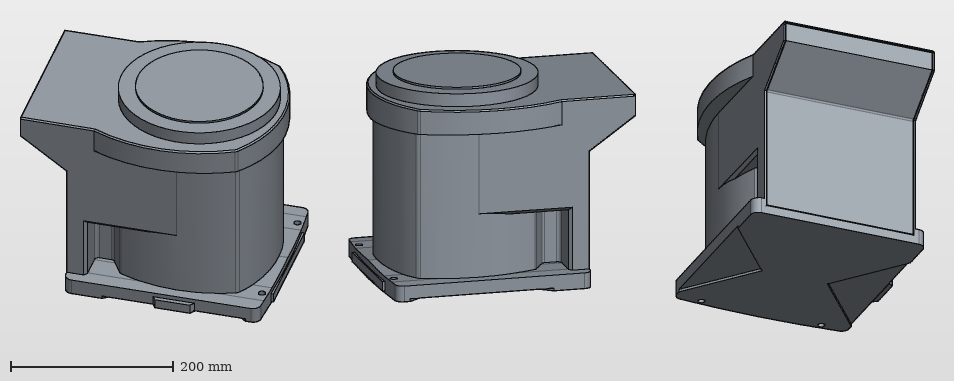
import cadquery as cq
import math


HEAD_TOP = 239.2
DISC_TOP = 255.5
LID_TOP = 258.0
BASE_RIDGE_HEIGHT = 23.5
LIP_RIDGE_HEIGHT = 203.5
ROOF_TILT = 2.3

BASE_REAR_X = -141.2
BASE_HALF_WIDTH = 115.5
BASE_CORNER_X = 108.0
BASE_NOSE_X = 113.5
BASE_CORNER_RADIUS = 10.0
BAND_INNER_Y = 66.0
BAND_OUTER_Y = 96.0
BOLT_HOLE_DIAMETER = 8.8
BOLT_HOLE_X = 103.0
BOLT_HOLE_Y = 80.5

PAD_BOTTOM = 2.8
PAD_TOP = 14.8
NOSE_PAD_X = 114.7
NOSE_PAD_HALF_LENGTH = 70.0
SIDE_TAB_Y = -121.5
SIDE_TAB_HALF_LENGTH = 26.5
SIDE_TAB_OUTER_HALF_LENGTH = 22.5

RELIEF_HEIGHT = 3.5
RELIEF_HALF_LENGTH = 91.7
RELIEF_WALL_ANGLE = 38.0

HEAD_REAR_X = -200.5
OVERHANG_EDGE_HEIGHT = 212.5
OVERHANG_ROOT_HEIGHT = 171.0
REAR_HALF_WIDTH = 101.0
WALL_HALF_WIDTH = 102.0
SIDE_ARC_RADIUS = 195.5
COLUMN_CORNER_X = 74.0
COLUMN_NOSE_X = 102.0
LIP_START_X = -106.0
LIP_PEAK_X = -19.0
LIP_PEAK_Y = 121.3
LIP_CORNER_X = 75.5
LIP_CORNER_Y = 97.5
LIP_NOSE_X = 110.0
NOSE_EDGE_RADIUS = 9.5
TOP_CHAMFER = 2.0

WALL_SLOPE = (REAR_HALF_WIDTH - WALL_HALF_WIDTH) / HEAD_REAR_X
LIP_START_Y = WALL_HALF_WIDTH + WALL_SLOPE * LIP_START_X
SIDE_ARC_CENTRE_X = SIDE_ARC_RADIUS * math.sin(math.atan(WALL_SLOPE))
SIDE_ARC_CENTRE_Y = WALL_HALF_WIDTH - SIDE_ARC_RADIUS * math.cos(math.atan(WALL_SLOPE))

DISC_RADIUS = 100.0
LID_RADIUS = 78.8

POCKET_REAR_X = -120.0
POCKET_TOP = 101.8
POCKET_RIM = 4.5
POCKET_FLOOR_Y = 60.5
POCKET_FLOOR_END_X = -92.3
CORE_EDGE_X = -77.2
POCKET_CORNER_RADIUS = 5.0

RECESS_DEPTH = 6.3
PANEL_GAP = 1.0
RECESS_HALF_WIDTH = 99.0
RECESS_TOP = 237.3
RECESS_BOTTOM = 11.5
PANEL_ROOT_RADIUS = 3.0


def side_arc_y(x):
    """Half width of the column's curved side at x."""
    return SIDE_ARC_CENTRE_Y + math.sqrt(SIDE_ARC_RADIUS**2 - (x - SIDE_ARC_CENTRE_X)**2)


def mirrored_pair(shape):
    """The shape together with its mirror image across the XZ plane."""
    return shape.union(shape.mirror("XZ"))


def roof_drop(distance):
    """Height change of a tilted roof face over a distance along Y."""
    return distance * math.tan(math.radians(ROOF_TILT))


def make_base():
    plan = (
        cq.Workplane("XY")
        .moveTo(BASE_REAR_X, -BASE_HALF_WIDTH)
        .lineTo(BASE_CORNER_X, -BASE_HALF_WIDTH)
        .threePointArc((BASE_NOSE_X, 0), (BASE_CORNER_X, BASE_HALF_WIDTH))
        .lineTo(BASE_REAR_X, BASE_HALF_WIDTH)
        .close()
        .extrude(BASE_RIDGE_HEIGHT)
        .edges("|Z")
        .fillet(BASE_CORNER_RADIUS)
    )
    band_height = BASE_RIDGE_HEIGHT - roof_drop(BAND_INNER_Y)
    edge_height = band_height - roof_drop(BASE_HALF_WIDTH - BAND_OUTER_Y)
    half_roof = [
        (BAND_INNER_Y, band_height),
        (BAND_OUTER_Y, band_height),
        (BASE_HALF_WIDTH, edge_height),
        (BASE_HALF_WIDTH, 0),
    ]
    other_half = [(-y, z) for y, z in reversed(half_roof)]
    section = (
        cq.Workplane("YZ", origin=(BASE_REAR_X, 0, 0))
        .polyline([(0, BASE_RIDGE_HEIGHT)] + half_roof + other_half)
        .close()
        .extrude(BASE_NOSE_X - BASE_REAR_X)
    )
    return plan.intersect(section)


def make_side_tab():
    return (
        cq.Workplane("XY", origin=(0, 0, PAD_BOTTOM))
        .polyline([
            (-SIDE_TAB_HALF_LENGTH, -BASE_HALF_WIDTH),
            (-SIDE_TAB_OUTER_HALF_LENGTH, SIDE_TAB_Y),
            (SIDE_TAB_OUTER_HALF_LENGTH, SIDE_TAB_Y),
            (SIDE_TAB_HALF_LENGTH, -BASE_HALF_WIDTH),
        ])
        .close()
        .extrude(PAD_TOP - PAD_BOTTOM)
    )


def make_nose_pad():
    length = NOSE_PAD_X - COLUMN_NOSE_X
    return cq.Workplane("XY", origin=(COLUMN_NOSE_X, 0, PAD_BOTTOM)).box(
        length, 2 * NOSE_PAD_HALF_LENGTH, PAD_TOP - PAD_BOTTOM, centered=(False, True, False)
    )


def make_reliefs():
    depth = RELIEF_HALF_LENGTH * math.tan(math.radians(RELIEF_WALL_ANGLE))
    relief = (
        cq.Workplane("XY")
        .polyline([
            (-RELIEF_HALF_LENGTH, -BASE_HALF_WIDTH),
            (RELIEF_HALF_LENGTH, -BASE_HALF_WIDTH),
            (0, depth - BASE_HALF_WIDTH),
        ])
        .close()
        .extrude(RELIEF_HEIGHT)
    )
    return mirrored_pair(relief)


def make_bolt_holes():
    return (
        cq.Workplane("XY")
        .pushPoints([(BOLT_HOLE_X, -BOLT_HOLE_Y), (BOLT_HOLE_X, BOLT_HOLE_Y)])
        .circle(BOLT_HOLE_DIAMETER / 2)
        .extrude(BASE_RIDGE_HEIGHT)
    )


def vertical_edges_at(x):
    """Selector for the upright edges at x."""
    near_x = cq.selectors.BoxSelector((x - 3, -LIP_PEAK_Y, 0), (x + 3, LIP_PEAK_Y, HEAD_TOP))
    return near_x & cq.selectors.ParallelDirSelector(cq.Vector(0, 0, 1))


def make_column():
    corner_y = side_arc_y(COLUMN_CORNER_X)
    middle_x = COLUMN_CORNER_X / 2
    middle_y = side_arc_y(middle_x)
    return (
        cq.Workplane("XY")
        .moveTo(HEAD_REAR_X, -REAR_HALF_WIDTH)
        .lineTo(0, -WALL_HALF_WIDTH)
        .threePointArc((middle_x, -middle_y), (COLUMN_CORNER_X, -corner_y))
        .threePointArc((COLUMN_NOSE_X, 0), (COLUMN_CORNER_X, corner_y))
        .threePointArc((middle_x, middle_y), (0, WALL_HALF_WIDTH))
        .lineTo(HEAD_REAR_X, REAR_HALF_WIDTH)
        .close()
        .extrude(HEAD_TOP - TOP_CHAMFER)
        .edges(vertical_edges_at(COLUMN_CORNER_X))
        .fillet(NOSE_EDGE_RADIUS)
    )


def make_head():
    head = (
        cq.Workplane("XY")
        .moveTo(HEAD_REAR_X, -REAR_HALF_WIDTH)
        .lineTo(LIP_START_X, -LIP_START_Y)
        .threePointArc((LIP_PEAK_X, -LIP_PEAK_Y), (LIP_CORNER_X, -LIP_CORNER_Y))
        .threePointArc((LIP_NOSE_X, 0), (LIP_CORNER_X, LIP_CORNER_Y))
        .threePointArc((LIP_PEAK_X, LIP_PEAK_Y), (LIP_START_X, LIP_START_Y))
        .lineTo(HEAD_REAR_X, REAR_HALF_WIDTH)
        .close()
        .extrude(HEAD_TOP)
        .edges(vertical_edges_at(LIP_CORNER_X))
        .fillet(NOSE_EDGE_RADIUS)
        .faces(">Z")
        .edges("not <X")
        .chamfer(TOP_CHAMFER)
    )
    cutter_half_width = LIP_PEAK_Y + 3
    edge_height = LIP_RIDGE_HEIGHT + roof_drop(cutter_half_width)
    below_lip = (
        cq.Workplane("YZ", origin=(HEAD_REAR_X, 0, 0))
        .polyline([
            (-cutter_half_width, 0),
            (-cutter_half_width, edge_height),
            (0, LIP_RIDGE_HEIGHT),
            (cutter_half_width, edge_height),
            (cutter_half_width, 0),
        ])
        .close()
        .extrude(LIP_NOSE_X - HEAD_REAR_X)
    )
    return head.cut(below_lip)


def make_overhang_cut():
    return (
        cq.Workplane("XZ")
        .polyline([
            (HEAD_REAR_X, OVERHANG_EDGE_HEIGHT),
            (BASE_REAR_X, OVERHANG_ROOT_HEIGHT),
            (BASE_REAR_X, 0),
            (HEAD_REAR_X, 0),
        ])
        .close()
        .extrude(WALL_HALF_WIDTH, both=True)
    )


def make_pocket_core():
    """Curved part of the column that is left standing beside the pocket."""
    middle_x = CORE_EDGE_X / 2
    return (
        cq.Workplane("XY")
        .moveTo(0, -WALL_HALF_WIDTH)
        .threePointArc((middle_x, -side_arc_y(middle_x)), (CORE_EDGE_X, -side_arc_y(CORE_EDGE_X)))
        .lineTo(POCKET_FLOOR_END_X, -POCKET_FLOOR_Y)
        .lineTo(0, -POCKET_FLOOR_Y)
        .close()
        .extrude(POCKET_TOP)
    )


def make_pocket():
    """Pocket with a 45 degree bevel along the rear and top edges of its opening."""
    length = -POCKET_REAR_X
    block = (
        cq.Workplane("XY", origin=(POCKET_REAR_X + POCKET_RIM, -WALL_HALF_WIDTH, 0))
        .box(length - POCKET_RIM, WALL_HALF_WIDTH - POCKET_FLOOR_Y, POCKET_TOP - POCKET_RIM, centered=False)
    )
    bevel = (
        cq.Workplane("XZ", origin=(0, -WALL_HALF_WIDTH, 0))
        .rect(2 * length, 2 * POCKET_TOP)
        .extrude(-POCKET_RIM, taper=45)
    )
    rear_upper_part = (
        cq.Workplane("XY", origin=(POCKET_REAR_X, -WALL_HALF_WIDTH, 0))
        .box(length, WALL_HALF_WIDTH, POCKET_TOP, centered=False)
    )
    opening = block.union(bevel.intersect(rear_upper_part)).cut(make_pocket_core())
    inner_corners = cq.selectors.BoxSelector(
        (POCKET_REAR_X, -side_arc_y(CORE_EDGE_X) - 3, 0),
        (CORE_EDGE_X + 3, 0, POCKET_TOP),
    )
    return opening.edges(inner_corners).edges("|Z").fillet(POCKET_CORNER_RADIUS)


def make_pockets():
    return mirrored_pair(make_pocket())


def make_rear_layer(half_width, bottom, top):
    """Layer RECESS_DEPTH thick along X that follows the stepped rear of the housing."""
    return (
        cq.Workplane("XZ")
        .moveTo(HEAD_REAR_X, top)
        .lineTo(HEAD_REAR_X, OVERHANG_EDGE_HEIGHT)
        .lineTo(BASE_REAR_X, OVERHANG_ROOT_HEIGHT)
        .lineTo(BASE_REAR_X, bottom)
        .lineTo(BASE_REAR_X + RECESS_DEPTH, bottom)
        .lineTo(BASE_REAR_X + RECESS_DEPTH, OVERHANG_ROOT_HEIGHT)
        .lineTo(HEAD_REAR_X + RECESS_DEPTH, OVERHANG_EDGE_HEIGHT)
        .lineTo(HEAD_REAR_X + RECESS_DEPTH, top)
        .close()
        .extrude(half_width, both=True)
    )


def make_panel():
    panel = make_rear_layer(
        RECESS_HALF_WIDTH - PANEL_GAP, RECESS_BOTTOM + PANEL_GAP, RECESS_TOP - PANEL_GAP
    )
    root = (BASE_REAR_X, 0, OVERHANG_ROOT_HEIGHT)
    return panel.edges(cq.selectors.NearestToPointSelector(root)).fillet(PANEL_ROOT_RADIUS)


def make_disc():
    disc = cq.Workplane("XY", origin=(0, 0, HEAD_TOP)).circle(DISC_RADIUS).extrude(DISC_TOP - HEAD_TOP)
    lid = cq.Workplane("XY", origin=(0, 0, DISC_TOP)).circle(LID_RADIUS).extrude(LID_TOP - DISC_TOP)
    return disc.union(lid)


def make_housing():
    upper = make_column().union(make_head()).cut(make_overhang_cut()).cut(make_pockets())
    base = make_base().union(make_nose_pad()).union(make_side_tab())
    body = upper.union(base).union(make_disc())
    recess = make_rear_layer(RECESS_HALF_WIDTH, RECESS_BOTTOM, RECESS_TOP)
    return body.cut(make_reliefs()).cut(make_bolt_holes()).cut(recess)


housing = make_housing()
panel = make_panel()

result = cq.Compound.makeCompound([housing.val(), panel.val()])